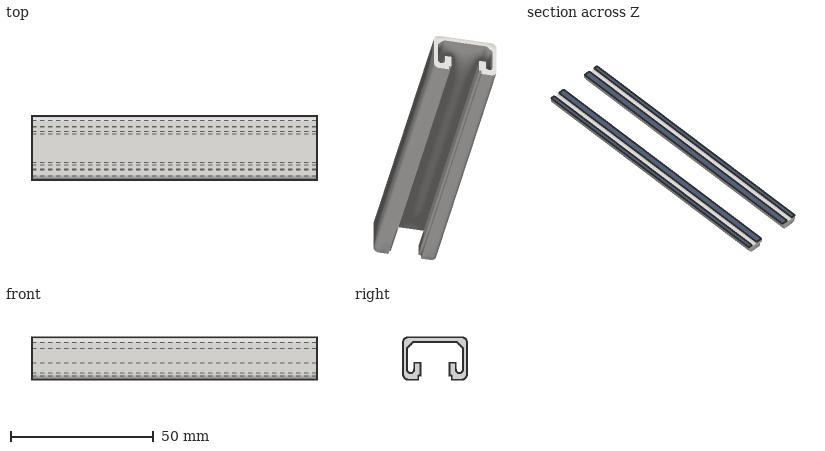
import cadquery as cq

length = 100.0
width = 22.5
height = 15.0
corner_radius = 2.0

side_wall = 1.5
top_wall = 1.8
cavity_chamfer = 2.1

lip_height = 6.0
groove_width = 2.4
groove_floor = 2.4
lip_gap = 10.0

mouth_width = 11.7
mouth_depth = 1.5

cavity_width = width - 2 * side_wall
groove_radius = groove_width / 2
groove_offset = cavity_width / 2 - groove_radius


def bar(bar_width, bottom, top, center_y=0.0):
    """Full-length rectangular bar between two heights."""
    return (
        cq.Workplane("XY", origin=(0, center_y, bottom))
        .box(length, bar_width, top - bottom, centered=(True, True, False))
    )


def groove(center_y):
    """Full-length groove with a half-round floor, reaching up into the cavity."""
    round_center = groove_floor + groove_radius
    floor_round = (
        cq.Workplane("YZ", origin=(-length / 2, center_y, round_center))
        .circle(groove_radius)
        .extrude(length)
    )
    return bar(groove_width, round_center, lip_height, center_y).union(floor_round)


body = bar(width, 0, height).edges("|X").fillet(corner_radius)

cavity = bar(cavity_width, lip_height, height - top_wall)
cavity = cavity.faces(">Z").edges("|X").chamfer(cavity_chamfer)
body = body.cut(cavity)

body = body.cut(bar(lip_gap, 0, lip_height))
body = body.cut(bar(mouth_width, 0, mouth_depth))

for side in (-1, 1):
    body = body.cut(groove(side * groove_offset))

result = body